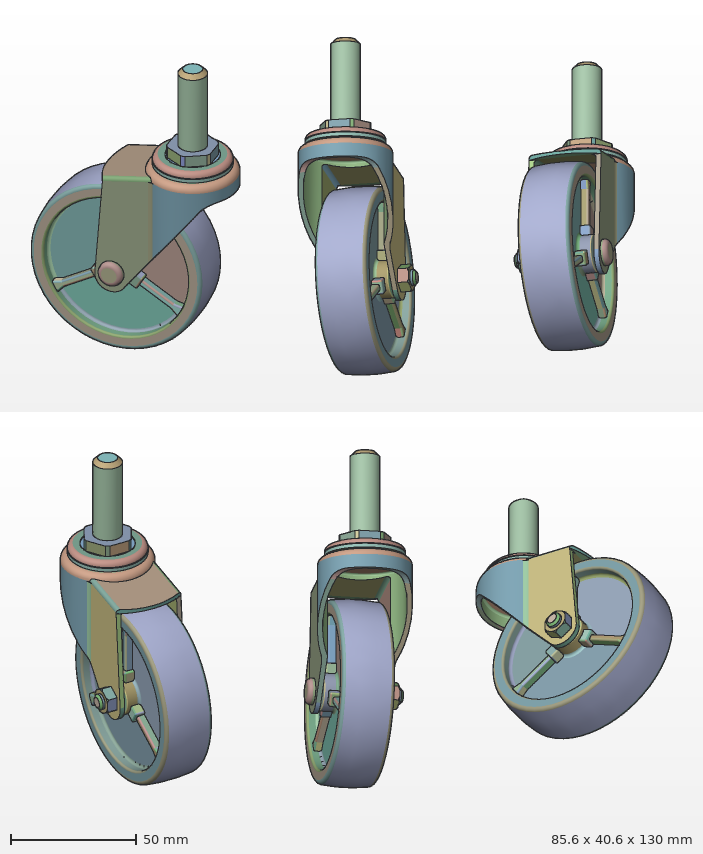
import cadquery as cq
import math


DIAGONAL = math.sqrt(0.5)

wheel_radius = 37.7
wheel_half_width = 10.7
shoulder_radius = 37.0
shoulder_round = 1.3
rim_face_radius = 35.4
pocket_radius = 31.2
pocket_mouth_round = 0.9
pocket_fillet = 1.2
web_half_thickness = 5.8
hub_radius = 7.7
hub_half_length = 11.8
hub_edge_round = 0.4
bore_radius = 3.2

spoke_count = 3
spoke_half_width = 1.3
spoke_draft_angle = 4
spoke_height = 3.1
spoke_edge_round = 0.8
flare_start_radius = 27.3
flare_half_width = 3.0
boss_half_width = 2.9
boss_reach = 11.6
boss_height = 4.3
boss_fillet = 0.6

swivel_offset = 28.9
sheet = 2.1
dome_radius = 19.0
dome_top = 48.4
dome_round = 3.0
leg_outer = 15.0
skirt_blend = 3.9
bend_round = 1.7
roof_slope = 0.187
roof_edge_height = 46.8
roof_edge_distance = 12.3
roof_reach = 36.5
roof_side_reach = 32.9
leg_end_radius = 7.0
leg_end_shift = 0.3
leg_end_drop = 1.7
fork_base = -leg_end_drop - leg_end_radius
roof_root_distance = 5.2
skirt_bottom = 40.0
skirt_notch_radius = 9.0
skirt_corner = 12.1

stem_radius = 6.0
stem_top = 92.3
stem_chamfer = 2.0
hex_across_flats = 18.8
hex_corner_radius = 10.4
hex_top = 57.5
recess_radius = 11.0
recess_depth = 0.5
disc_radius = 16.2
disc_top = 53.2
disc_bottom = 49.0
disc_round = 2.3
neck_radius = 14.5
seam_height = 50.6
seam_width = 0.3
seam_depth = 0.2

bolt_head_radius = 5.3
bolt_head_height = 2.9
bolt_head_round = 2.0
bolt_end = 21.6
bolt_end_chamfer = 1.0
nut_across_flats = 9.7
nut_height = 4.5
nut_chamfer_radius = 5.1
nut_chamfer_height = 0.6


def cylinder_y(radius, y_start, y_end):
    """Solid cylinder about the wheel axle, between two Y positions."""
    return cq.Workplane("XZ", origin=(0, y_start, 0)).circle(radius).extrude(y_start - y_end)


def hexagon_diameter(across_flats):
    return across_flats / math.cos(math.pi / 6)


def make_pocket():
    """Ring-shaped recess in the +Y face of the wheel, with rounded floor edges and a rounded mouth."""
    mouth_radius = pocket_radius + pocket_mouth_round
    mouth_start = wheel_half_width - pocket_mouth_round
    pocket = (
        cq.Workplane("XY")
        .moveTo(hub_radius, web_half_thickness)
        .lineTo(pocket_radius, web_half_thickness)
        .lineTo(pocket_radius, mouth_start)
        .threePointArc(
            (mouth_radius - pocket_mouth_round * DIAGONAL, mouth_start + pocket_mouth_round * DIAGONAL),
            (mouth_radius, wheel_half_width),
        )
        .lineTo(hub_radius, wheel_half_width)
        .close()
        .revolve(360, (0, 0, 0), (0, 1, 0))
    )
    return pocket.faces("<Y").edges().fillet(pocket_fillet)


def make_spoke():
    """One upright spoke on the +Y side: drafted rib, flared rim end and block at the hub."""
    foot_half_width = spoke_half_width + spoke_height * math.tan(math.radians(spoke_draft_angle))
    web_face = cq.Workplane("XZ", origin=(0, web_half_thickness, 0))
    rib_end = pocket_radius + pocket_mouth_round
    rib = (
        web_face.polyline([
            (-foot_half_width, 0),
            (foot_half_width, 0),
            (foot_half_width, flare_start_radius),
            (flare_half_width, rib_end),
            (-flare_half_width, rib_end),
            (-foot_half_width, flare_start_radius),
        ])
        .close()
        .extrude(-spoke_height, taper=spoke_draft_angle)
        .faces(">Y")
        .edges()
        .fillet(spoke_edge_round)
    )
    boss = (
        web_face.rect(2 * boss_half_width, 2 * boss_reach)
        .extrude(-boss_height)
        .edges("|Y or >Y")
        .fillet(boss_fillet)
    )
    upper_half = web_face.rect(2 * boss_half_width, boss_reach, centered=(True, False)).extrude(-boss_height)
    return rib.union(boss.intersect(upper_half))


def make_wheel():
    shoulder_y = wheel_half_width - shoulder_round
    shoulder_mid_radius = rim_face_radius + (shoulder_radius - rim_face_radius) * DIAGONAL
    shoulder_mid_y = shoulder_y + shoulder_round * DIAGONAL
    wheel = (
        cq.Workplane("XY")
        .moveTo(0, -wheel_half_width)
        .lineTo(rim_face_radius, -wheel_half_width)
        .threePointArc((shoulder_mid_radius, -shoulder_mid_y), (shoulder_radius, -shoulder_y))
        .threePointArc((wheel_radius, 0), (shoulder_radius, shoulder_y))
        .threePointArc((shoulder_mid_radius, shoulder_mid_y), (rim_face_radius, wheel_half_width))
        .lineTo(0, wheel_half_width)
        .close()
        .revolve(360, (0, 0, 0), (0, 1, 0))
    )
    pocket = make_pocket()
    wheel = wheel.cut(pocket).cut(pocket.mirror("XZ"))
    hub = cylinder_y(hub_radius, -hub_half_length, hub_half_length).edges().fillet(hub_edge_round)
    wheel = wheel.union(hub)
    spoke = make_spoke()
    for index in range(spoke_count):
        turned = spoke.rotate((0, 0, 0), (0, 1, 0), index * 360 / spoke_count)
        wheel = wheel.union(turned).union(turned.mirror("XZ"))
    return wheel.cut(cylinder_y(bore_radius, -hub_half_length, hub_half_length))


def roof_height(distance):
    """Height of the sloping roof at a distance from the swivel axis toward the wheel."""
    return roof_edge_height - roof_slope * (distance - roof_edge_distance)


def make_fork_block(inset):
    """Filled outer shape of the fork, or the same shape shrunk all round by the inset."""
    radius = dome_radius - inset
    half_width = leg_outer - inset
    far_end = roof_reach + sheet
    swivel_plane = cq.Workplane("XY", origin=(swivel_offset, 0, fork_base))
    dome = (
        swivel_plane.circle(radius)
        .extrude(dome_top - inset - fork_base)
        .faces(">Z")
        .edges()
        .fillet(dome_round - inset)
    )
    channel = (
        cq.Workplane("XZ", origin=(swivel_offset, half_width, 0))
        .polyline([
            (-far_end, fork_base),
            (-roof_root_distance, fork_base),
            (-roof_root_distance, roof_height(roof_root_distance) - inset),
            (-far_end, roof_height(far_end) - inset),
        ])
        .close()
        .extrude(2 * half_width)
        .faces(">Z")
        .edges("not |Y")
        .fillet(bend_round)
    )
    return dome.union(channel)


def make_skirt_blends(inset):
    """Concave corner fillings where the two flat legs run into the round skirt."""
    radius = dome_radius - inset
    half_width = leg_outer - inset
    blend = skirt_blend + inset
    centre_y = half_width + blend
    centre_x = -math.sqrt((radius + blend) ** 2 - centre_y ** 2)
    touch = radius / (radius + blend)
    wedge = (
        cq.Workplane("XY", origin=(swivel_offset, 0, fork_base))
        .moveTo(centre_x, half_width)
        .lineTo(0, half_width)
        .lineTo(centre_x * touch, centre_y * touch)
        .close()
        .extrude(roof_height(roof_edge_distance) - bend_round - inset - fork_base)
        .cut(
            cq.Workplane("XY", origin=(swivel_offset + centre_x, centre_y, fork_base))
            .circle(blend)
            .extrude(dome_top - fork_base)
        )
    )
    return wedge.union(wedge.mirror("XZ"))


def make_fork_side():
    """Side outline of the fork, as a block across its full width."""
    end_x = -leg_end_shift
    end_z = -leg_end_drop
    front_x = swivel_offset - roof_side_reach
    front_z = roof_height(roof_side_reach) - sheet
    back_x = swivel_offset + skirt_corner
    front_touch = tangent_point(front_x, front_z, end_x, end_z, leg_end_radius, 1)
    back_touch = tangent_point(back_x, skirt_bottom, end_x, end_z, leg_end_radius, -1)
    outline = (
        cq.Workplane("XZ", origin=(0, dome_radius, 0))
        .moveTo(*front_touch)
        .threePointArc((end_x, end_z - leg_end_radius), back_touch)
        .lineTo(back_x, skirt_bottom)
        .lineTo(swivel_offset + dome_radius, skirt_bottom)
        .lineTo(swivel_offset + dome_radius, dome_top)
        .lineTo(swivel_offset - roof_reach, dome_top)
        .lineTo(swivel_offset - roof_reach, front_z)
        .lineTo(front_x, front_z)
        .close()
        .extrude(2 * dome_radius)
    )
    notch = cq.selectors.NearestToPointSelector((back_x, 0, skirt_bottom))
    return outline.edges("|Y").edges(notch).fillet(skirt_notch_radius)


def tangent_point(x, z, centre_x, centre_z, radius, side):
    """Where a line from (x, z) touches a circle; side picks one of the two tangents."""
    distance = math.hypot(x - centre_x, z - centre_z)
    angle = math.atan2(z - centre_z, x - centre_x) + side * math.acos(radius / distance)
    return centre_x + radius * math.cos(angle), centre_z + radius * math.sin(angle)


def make_roof_trim():
    """Space beyond the outward bow of the roof end, to be removed from the roof only."""
    return (
        cq.Workplane("XY", origin=(swivel_offset, 0, roof_height(roof_side_reach) - sheet))
        .moveTo(-roof_reach - sheet, -leg_outer)
        .lineTo(-roof_side_reach, -leg_outer)
        .threePointArc((-roof_reach, 0), (-roof_side_reach, leg_outer))
        .lineTo(-roof_reach - sheet, leg_outer)
        .close()
        .extrude(dome_top)
    )


def make_fork():
    shell = make_fork_block(0).union(make_skirt_blends(0))
    shell = shell.cut(make_fork_block(sheet))
    fork = shell.intersect(make_fork_side()).cut(make_roof_trim())
    return fork.cut(cylinder_y(bore_radius, -leg_outer, leg_outer))


def make_stem():
    stem_plane = cq.Workplane("XY", origin=(swivel_offset, 0, dome_top))

    def round_layer(radius, bottom, top):
        return stem_plane.workplane(offset=bottom - dome_top).circle(radius).extrude(top - bottom)

    disc = round_layer(disc_radius, disc_bottom, disc_top).faces(">Z").edges().fillet(disc_round)
    groove = round_layer(disc_radius, seam_height, seam_height + seam_width).cut(
        round_layer(disc_radius - seam_depth, seam_height, seam_height + seam_width)
    )
    recess = round_layer(recess_radius, disc_top - recess_depth, disc_top)
    hexagon = (
        stem_plane.transformed(rotate=(0, 0, 90))
        .polygon(6, hexagon_diameter(hex_across_flats))
        .extrude(hex_top - dome_top)
        .intersect(round_layer(hex_corner_radius, dome_top, hex_top))
    )
    shank = round_layer(stem_radius, dome_top, stem_top).faces(">Z").edges().chamfer(stem_chamfer)
    neck = round_layer(neck_radius, dome_top, disc_bottom)
    return disc.cut(groove).cut(recess).union(neck).union(hexagon).union(shank)


def make_bolt():
    head_face = -leg_outer - bolt_head_height
    head = cylinder_y(bolt_head_radius, head_face, -leg_outer).faces("<Y").edges().fillet(bolt_head_round)
    shank = cylinder_y(bore_radius, -leg_outer, bolt_end).faces(">Y").edges().chamfer(bolt_end_chamfer)
    return head.union(shank)


def make_nut():
    nut_face = leg_outer + nut_height
    hexagon = (
        cq.Workplane("XZ", origin=(0, leg_outer, 0))
        .transformed(rotate=(0, 0, 90))
        .polygon(6, hexagon_diameter(nut_across_flats))
        .extrude(-nut_height)
    )
    corner_radius = hexagon_diameter(nut_across_flats) / 2
    chamfered = (
        cylinder_y(corner_radius, leg_outer, nut_face)
        .faces(">Y")
        .edges()
        .chamfer(nut_chamfer_height, corner_radius - nut_chamfer_radius)
    )
    return hexagon.intersect(chamfered).cut(cylinder_y(bore_radius, leg_outer, nut_face))


wheel = make_wheel()
fork = make_fork()
stem = make_stem()
bolt = make_bolt()
nut = make_nut()

result = cq.Compound.makeCompound([wheel.val(), fork.val(), stem.val(), bolt.val(), nut.val()])